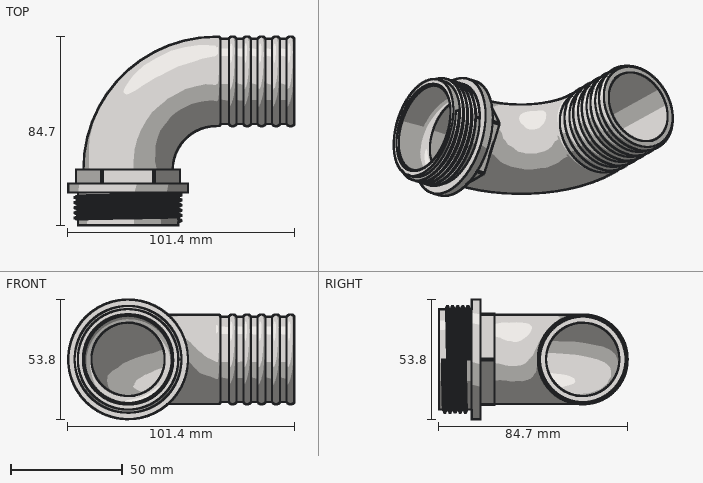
import cadquery as cq
import math


total_length = 101.4
flange_radius = 26.9
outlet_end = total_length - flange_radius
tail_radius = 19.2
rib_radius = 20.2
rib_half_width = 1.7
rib_pitch = 6.5
rib_count = 5

elbow_radius = 20.1
bore_radius = 16.4
outlet_axis = 64.5
elbow_end = 41.4

flange_start = 14.7
flange_end = 18.7
hex_end = 25.0
hex_across_flats = 40.8
hex_corner_radius = 23.3
bend_radius = outlet_axis - hex_end

root_radius = 22.5
crest_radius = 23.9
thread_pitch = 2.3
thread_start = 2.1
thread_turns = 5
thread_half_base = 0.9
thread_half_crest = 0.15
thread_overlap = 0.3

counterbore_radius = 19.6
counterbore_depth = 15.7
counterbore_fillet = 3.0
mouth_chamfer = 0.7


def inlet_cylinder(radius, start, end):
    """Cylinder on the Y axis between two Y positions."""
    return cq.Workplane("XZ", origin=(0, start, 0)).circle(radius).extrude(start - end)


def outlet_cylinder(radius, start, end):
    """Cylinder on the outlet axis between two X positions."""
    return cq.Workplane("YZ", origin=(start, outlet_axis, 0)).circle(radius).extrude(end - start)


def bend(radius):
    """Quarter-torus pipe joining the inlet and outlet axes."""
    section = cq.Workplane("XZ", origin=(0, hex_end, 0)).circle(radius)
    return section.revolve(90, (bend_radius, 0, 0), (bend_radius, -1, 0))


def hose_rib(center):
    """Ring with a rounded crest around the hose tail."""
    ring = (
        cq.Workplane("XY")
        .moveTo(center - rib_half_width, bore_radius)
        .lineTo(center - rib_half_width, tail_radius)
        .threePointArc((center, rib_radius), (center + rib_half_width, tail_radius))
        .lineTo(center + rib_half_width, bore_radius)
        .close()
        .revolve(360, (0, 0, 0), (1, 0, 0))
    )
    return ring.translate((0, outlet_axis, 0))


def hexagon():
    """Wrench hexagon with flats facing Z and its corners turned down."""
    corner_diameter = hex_across_flats / math.cos(math.pi / 6)
    prism = (
        cq.Workplane("XZ", origin=(0, flange_end, 0))
        .polygon(6, corner_diameter)
        .extrude(flange_end - hex_end)
    )
    return prism.intersect(inlet_cylinder(hex_corner_radius, flange_end, hex_end))


def thread():
    """Right-handed helical ridge that stops just short of the flange."""
    inner_radius = root_radius - thread_overlap
    path = cq.Wire.makeHelix(thread_pitch, thread_pitch * thread_turns, inner_radius)
    ridge = (
        cq.Workplane("XZ")
        .polyline([
            (inner_radius, -thread_half_base),
            (crest_radius, -thread_half_crest),
            (crest_radius, thread_half_crest),
            (inner_radius, thread_half_base),
        ])
        .close()
        .sweep(cq.Workplane(path), isFrenet=True)
    )
    return ridge.rotate((0, 0, 0), (1, 0, 0), -90).translate((0, thread_start, 0))


def inlet_counterbore():
    """Wide inlet bore with a rounded floor edge and a chamfered mouth."""
    bore = inlet_cylinder(counterbore_radius, 0, counterbore_depth)
    bore = bore.faces(">Y").edges().fillet(counterbore_fillet)
    mouth = cq.Solid.makeCone(
        counterbore_radius + mouth_chamfer,
        counterbore_radius,
        mouth_chamfer,
        pnt=cq.Vector(0, 0, 0),
        dir=cq.Vector(0, 1, 0),
    )
    return bore.union(cq.Workplane(mouth))


elbow_lip = outlet_cylinder(elbow_radius, bend_radius, elbow_end)
elbow_lip = elbow_lip.faces(">X").edges().fillet(elbow_radius - tail_radius)

body = inlet_cylinder(root_radius, 0, flange_start)
body = body.union(inlet_cylinder(flange_radius, flange_start, flange_end))
body = body.union(hexagon())
body = body.union(bend(elbow_radius))
body = body.union(elbow_lip)
body = body.union(outlet_cylinder(tail_radius, elbow_end, outlet_end))
for index in range(rib_count):
    body = body.union(hose_rib(outlet_end - rib_half_width - index * rib_pitch))

body = body.cut(inlet_counterbore())
body = body.cut(inlet_cylinder(bore_radius, 0, hex_end))
body = body.cut(bend(bore_radius))
body = body.cut(outlet_cylinder(bore_radius, bend_radius, outlet_end))

result = body.union(thread())